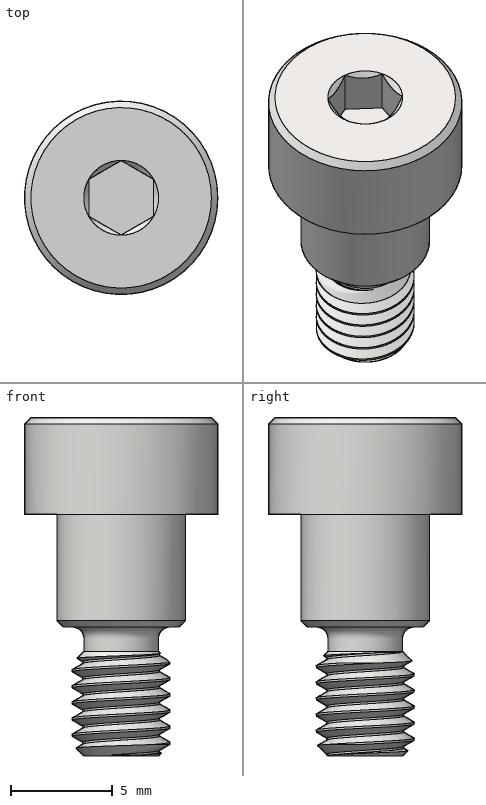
import cadquery as cq
import math

INCH = 25.4

head_diameter = 3 / 8 * INCH
head_height = 3 / 16 * INCH
head_chamfer = 0.32
shoulder_diameter = 1 / 4 * INCH
shoulder_length = 7 / 32 * INCH
shoulder_chamfer = 0.32
shank_length = 1 / 4 * INCH

socket_sides = 6
socket_across_flats = 1 / 8 * INCH
socket_mouth_diameter = 3.68
socket_depth = head_height / 2
socket_mouth_angle = 45.0

thread_major_diameter = 0.19 * INCH
thread_pitch = INCH / 32
thread_flank_angle = 30.0
crest_width = thread_pitch / 8
sharp_height = thread_pitch / 2 / math.tan(math.radians(thread_flank_angle))
thread_depth = 3 / 4 * sharp_height
crest_height_at_x = 0.634
ridge_embed = 0.04
extra_turns = 2
core_extra_turns = extra_turns + 2
crest_clearance = 0.4

neck_diameter = 3.68
neck_length = 1.5 * thread_pitch
neck_fillet_radius = 0.56

head_radius = head_diameter / 2
shoulder_radius = shoulder_diameter / 2
major_radius = thread_major_diameter / 2
root_radius = major_radius - thread_depth
neck_radius = neck_diameter / 2
thread_top = shank_length - neck_length
head_bottom = shank_length + shoulder_length
head_top = head_bottom + head_height
ridge_turns = math.ceil(thread_top / thread_pitch) + 2 * extra_turns


def make_cylinder(radius, bottom, height):
    return cq.Workplane("XY").workplane(offset=bottom).circle(radius).extrude(height)


def make_head():
    head = make_cylinder(head_radius, head_bottom, head_height)
    return head.faces(">Z").edges().chamfer(head_chamfer)


def make_shoulder():
    shoulder = make_cylinder(shoulder_radius, shank_length, shoulder_length)
    return shoulder.faces("<Z").edges().chamfer(shoulder_chamfer)


def make_neck():
    """Neck with a quarter-round fillet up to the underside of the shoulder."""
    return (
        cq.Workplane("XZ")
        .moveTo(0, thread_top)
        .lineTo(neck_radius, thread_top)
        .lineTo(neck_radius, shank_length - neck_fillet_radius)
        .tangentArcPoint((neck_radius + neck_fillet_radius, shank_length), relative=False)
        .lineTo(0, shank_length)
        .close()
        .revolve()
    )


def make_thread_ridge():
    """Right-hand helical ridge that starts below the tip and ends above the thread."""
    flank_slope = math.tan(math.radians(thread_flank_angle))
    base_radius = root_radius - ridge_embed
    crest_half = crest_width / 2
    base_half = crest_half + (thread_depth + ridge_embed) * flank_slope
    start = crest_height_at_x - extra_turns * thread_pitch
    helix = cq.Wire.makeHelix(thread_pitch, ridge_turns * thread_pitch, root_radius)
    path = cq.Workplane(helix.translate(cq.Vector(0, 0, start)))
    return (
        cq.Workplane("ZX")
        .moveTo(start - base_half, base_radius)
        .lineTo(start - crest_half, major_radius)
        .lineTo(start + crest_half, major_radius)
        .lineTo(start + base_half, base_radius)
        .close()
        .sweep(path, isFrenet=True)
    )


def make_thread_envelope():
    """45 degree cones at both ends, joined by a cylinder that clears the crests."""
    clear_radius = major_radius + crest_clearance
    cone_height = clear_radius - neck_radius
    return (
        cq.Workplane("XZ")
        .lineTo(neck_radius, 0)
        .lineTo(clear_radius, cone_height)
        .lineTo(clear_radius, thread_top - cone_height)
        .lineTo(neck_radius, thread_top)
        .lineTo(0, thread_top)
        .close()
        .revolve()
    )


def make_thread():
    """Overlong threaded rod trimmed to the thread envelope."""
    overrun = core_extra_turns * thread_pitch
    core = make_cylinder(root_radius, -overrun, thread_top + 2 * overrun)
    return core.union(make_thread_ridge()).intersect(make_thread_envelope())


def make_socket():
    """Hexagon socket, corners along Y, with a countersunk mouth."""
    mouth_radius = socket_mouth_diameter / 2
    cone_depth = mouth_radius * math.tan(math.radians(socket_mouth_angle))
    hexagon = (
        cq.Workplane("XY")
        .workplane(offset=head_top)
        .polygon(socket_sides, socket_across_flats, circumscribed=True)
        .extrude(-socket_depth)
    )
    mouth = (
        cq.Workplane("XZ")
        .moveTo(0, head_top)
        .lineTo(mouth_radius, head_top)
        .lineTo(0, head_top - cone_depth)
        .close()
        .revolve()
    )
    return hexagon.union(mouth)


body = make_thread().union(make_neck()).union(make_shoulder()).union(make_head())
result = body.cut(make_socket())